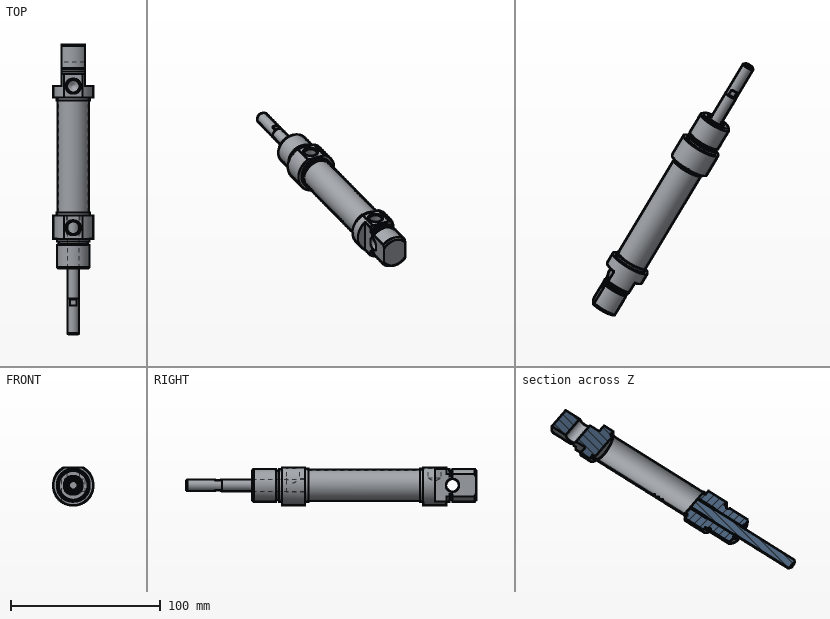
import cadquery as cq
import math

body_length = 150.0

thread_dia = 22.0
thread_length = 16.0
end_chamfer = 1.3
end_face_dia = thread_dia - 2 * end_chamfer
groove_dia = 19.7
groove_corner_chamfer = 0.5
groove_end = 18.1
flange_start = 20.0
flange_dia = 27.0
flange_length = 15.6
flange_end = flange_start + flange_length
lip_dia = 22.2
lip_end = flange_end + 2.1
flange_flat_height = 12.0

tube_outer_dia = 21.27
tube_bore_dia = 20.0

port_dia = 8.57
port_mouth_dia = 10.0
port_chamfer = (port_mouth_dia - port_dia) / 2
front_port_position = 27.4
rear_port_position = 28.0
port_depth = 7.0
drill_point_angle = 118.0

tongue_width = 16.0
tongue_length = 27.8
pivot_hole_dia = 8.5
pivot_position = 16.0

rod_dia = 8.0
rod_thread_dia = 7.9
rod_extension = 44.0
rod_thread_length = 24.0
rod_tip_dia = 6.0
rod_tip_chamfer = (rod_thread_dia - rod_tip_dia) / 2
wrench_flat_width = 6.8
wrench_flat_length = 4.0
wrench_flat_offset = 0.6
wiper_recess_mouth_dia = 12.5
wiper_recess_dia = 12.0
wiper_recess_depth = 0.6
wiper_bore_mouth_dia = 10.1
wiper_bore_dia = 9.1
wiper_bore_depth = 1.6
rod_chamber_dia = 9.1
rod_chamber_start = front_port_position - port_dia / 2


def cylinder(diameter, start, end):
    """Cylinder about the Y axis between two Y positions."""
    return cq.Workplane("XZ", origin=(0, start, 0)).circle(diameter / 2).extrude(start - end)


def slab(width_x, start, end, bottom, top):
    """Box centred on X, between two Y positions and two heights."""
    box = cq.Workplane("XY").box(width_x, end - start, top - bottom, centered=(True, False, False))
    return box.translate((0, start, bottom))


def revolve_about_y(profile):
    """Solid of revolution about Y from a list of (radius, Y) points."""
    return cq.Workplane("XY").polyline(profile).close().revolve(360, (0, 0, 0), (0, 1, 0))


def cap_blank():
    """Stepped cap with its outer face at Y = 0, flat-topped flange and tube socket."""
    profile = [
        (0, 0),
        (end_face_dia / 2, 0),
        (thread_dia / 2, end_chamfer),
        (thread_dia / 2, thread_length),
        (groove_dia / 2 + groove_corner_chamfer, thread_length),
        (groove_dia / 2, thread_length + groove_corner_chamfer),
        (groove_dia / 2, groove_end),
        (thread_dia / 2, groove_end),
        (thread_dia / 2, flange_start),
        (flange_dia / 2, flange_start),
        (flange_dia / 2, flange_end),
        (lip_dia / 2, flange_end),
        (lip_dia / 2, lip_end),
        (0, lip_end),
    ]
    cap = revolve_about_y(profile)
    above_flat = slab(flange_dia, flange_start, flange_end, flange_flat_height, flange_dia)
    socket = cylinder(tube_outer_dia, flange_end, lip_end).cut(cylinder(tube_bore_dia, flange_end, lip_end))
    return cap.cut(above_flat).cut(socket)


def port_cutter(position, depth, point_height):
    """Port drill with a chamfered mouth at the flange flat and a conical point."""
    profile = [
        (0, flange_flat_height),
        (port_mouth_dia / 2, flange_flat_height),
        (port_dia / 2, flange_flat_height - port_chamfer),
        (port_dia / 2, flange_flat_height - depth),
        (0, flange_flat_height - depth - point_height),
    ]
    drill = cq.Workplane("XZ").polyline(profile).close().revolve(360, (0, 0, 0), (0, 1, 0))
    return drill.translate((0, position, 0))


def make_front_cap():
    """Front cap: stepped wiper recess, rod guide and a chamber joining the port to the tube."""
    cap = cap_blank()
    mouth_chamfer = (wiper_recess_mouth_dia - wiper_recess_dia) / 2
    bore_chamfer = (wiper_bore_mouth_dia - wiper_bore_dia) / 2
    wiper_recess = [
        (0, 0),
        (wiper_recess_mouth_dia / 2, 0),
        (wiper_recess_dia / 2, mouth_chamfer),
        (wiper_recess_dia / 2, wiper_recess_depth),
        (wiper_bore_mouth_dia / 2, wiper_recess_depth),
        (wiper_bore_dia / 2, wiper_recess_depth + bore_chamfer),
        (wiper_bore_dia / 2, wiper_bore_depth),
        (0, wiper_bore_depth),
    ]
    cap = cap.cut(revolve_about_y(wiper_recess))
    cap = cap.cut(cylinder(rod_dia, 0, lip_end))
    cap = cap.cut(cylinder(rod_chamber_dia, rod_chamber_start, lip_end))
    return cap.cut(port_cutter(front_port_position, flange_flat_height, 0))


def make_rear_cap():
    """Rear cap: clevis tongue with a pivot hole, and a blind port."""
    cap = cap_blank()
    tongue_limits = slab(tongue_width, 0, tongue_length, -flange_dia, flange_dia)
    cap = cap.cut(slab(2 * flange_dia, 0, tongue_length, -flange_dia, flange_dia).cut(tongue_limits))
    pivot_hole = cq.Workplane("YZ").center(pivot_position, 0).circle(pivot_hole_dia / 2)
    cap = cap.cut(pivot_hole.extrude(tongue_width, both=True))
    point_height = port_dia / 2 / math.tan(math.radians(drill_point_angle / 2))
    cap = cap.cut(port_cutter(rear_port_position, port_depth, point_height))
    return cap.mirror("XZ").translate((0, body_length, 0))


def make_tube():
    """Plain tube, reaching to the flange of each cap."""
    start = flange_end
    end = body_length - flange_end
    return cylinder(tube_outer_dia, start, end).cut(cylinder(tube_bore_dia, start, end))


def make_rod():
    """Rod with a slightly thinner threaded end, chamfered tip and two wrench flats."""
    tip = -rod_extension
    thread_start = tip + rod_thread_length
    threaded_end = cylinder(rod_thread_dia, tip, thread_start).faces("<Y").chamfer(rod_tip_chamfer)
    rod = cylinder(rod_dia, thread_start, lip_end).union(threaded_end)
    flat_end = thread_start - wrench_flat_offset
    flat_start = flat_end - wrench_flat_length
    for side in (1, -1):
        edges = sorted((side * wrench_flat_width / 2, side * rod_dia))
        rod = rod.cut(slab(rod_dia, flat_start, flat_end, *edges))
    return rod


front_cap = make_front_cap()
rear_cap = make_rear_cap()
tube = make_tube()
rod = make_rod()

result = cq.Compound.makeCompound([front_cap.val(), rear_cap.val(), tube.val(), rod.val()])